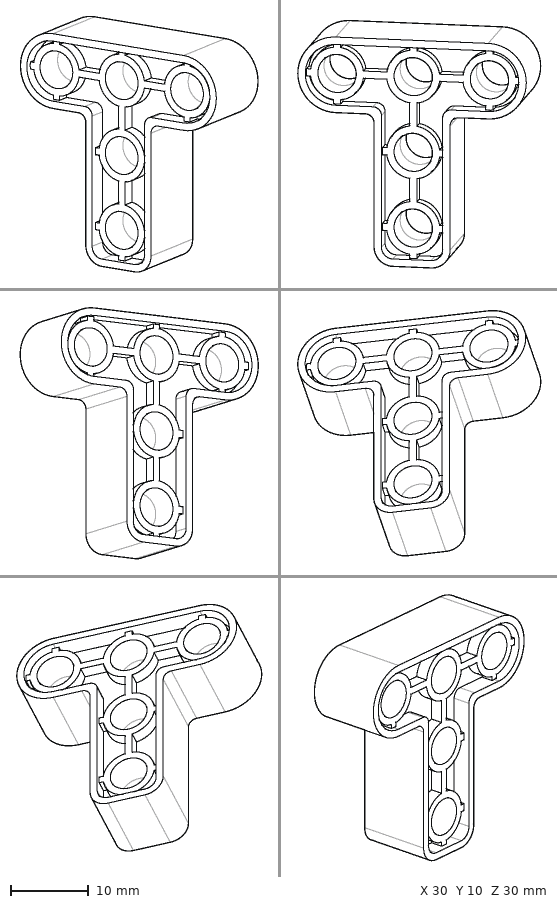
import cadquery as cq

length = 30.0
pitch = length / 3
wall = 1.0
rib_width = 0.95
hole_diameter = 5.0
ring_diameter = 7.0
foot_radius = 2.5
armpit_radius = 1.1
web_thickness = 5.0
rib_recess = 0.8

half_width = pitch / 2
half_thickness = pitch / 2
bar_z = length / 2 - half_width
foot_z = -length / 2
bar_holes = [(-pitch, bar_z), (0, bar_z), (pitch, bar_z)]
stem_holes = [(0, bar_z - pitch), (0, bar_z - 2 * pitch)]
holes = bar_holes + stem_holes


def block(x_min, x_max, z_min, z_max, half_depth):
    """Box centred on the XZ plane, given by its corners in X and Z."""
    centre = ((x_min + x_max) / 2, 0, (z_min + z_max) / 2)
    return cq.Workplane("XY").box(x_max - x_min, 2 * half_depth, z_max - z_min).translate(centre)


def cylinders(points, diameter, half_depth):
    """Cylinders along Y, centred on the XZ plane at the given X and Z points."""
    return cq.Workplane("XZ").pushPoints(points).circle(diameter / 2).extrude(half_depth, both=True)


def tee(inset, half_depth):
    """T-shaped prism with its outline moved inwards by inset."""
    half = half_width - inset
    bar = cq.Workplane("XZ").center(0, bar_z).slot2D(2 * (pitch + half), 2 * half)
    bar = bar.extrude(half_depth, both=True)
    stem = block(-half, half, foot_z + inset, bar_z, half_depth)
    stem = stem.edges("|Y and <Z").fillet(foot_radius - inset)
    margin = 0.3
    armpits = cq.selectors.BoxSelector(
        (-half - margin, -half_depth, bar_z - half - margin),
        (half + margin, half_depth, bar_z - half + margin),
    )
    return bar.union(stem).edges("|Y").edges(armpits).fillet(armpit_radius)


def rings_and_ribs():
    """Hole rings, the ribs joining them, and the short ribs tying them to the rim."""
    half_depth = half_thickness - rib_recess
    half_rib = rib_width / 2
    reach = half_width - wall / 2
    body = cylinders(holes, ring_diameter, half_depth)
    bar_reach = pitch + reach
    body = body.union(block(-bar_reach, bar_reach, bar_z - half_rib, bar_z + half_rib, half_depth))
    body = body.union(block(-half_rib, half_rib, foot_z + wall / 2, bar_z + reach, half_depth))
    for x, z in [bar_holes[0], bar_holes[-1]]:
        body = body.union(block(x - half_rib, x + half_rib, z - reach, z + reach, half_depth))
    for x, z in stem_holes:
        body = body.union(block(x - reach, x + reach, z - half_rib, z + half_rib, half_depth))
    return body


rim = tee(0, half_thickness).cut(tee(wall, half_thickness))
web = tee(wall / 2, web_thickness / 2)
result = rim.union(web).union(rings_and_ribs()).cut(cylinders(holes, hole_diameter, half_thickness))